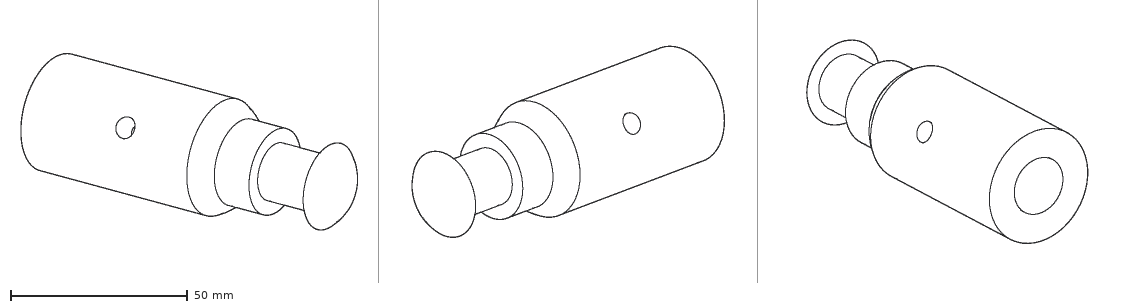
import cadquery as cq
import math

total_length = 101.6
body_diameter = 34.3
body_length = 57.9
collar_diameter = 25.4
collar_start = 64.3
collar_end = 76.4
stem_diameter = 17.0
head_diameter = collar_diameter
head_height = 6.3

bore_diameter = 17.0
bore_depth = 57.9
bore_dome_height = 3.0

radial_hole_diameter = 6.3
radial_hole_x = 34.8
radial_hole_angles = (30, 150, 270)

head_start = total_length - head_height


def cap_midpoint(base_x, base_radius, height):
    """Point halfway along the arc from a spherical cap's rim to its tip; a negative height points to -X."""
    sphere_radius = (base_radius**2 + height**2) / (2 * abs(height))
    half_angle = math.asin(base_radius / sphere_radius) / 2
    drop = math.copysign(sphere_radius * (1 - math.cos(half_angle)), height)
    return (base_x + height - drop, sphere_radius * math.sin(half_angle))


def shoulder_midpoint():
    """Midpoint of the shoulder arc, which is centred on the part's axis."""
    body_radius = body_diameter / 2
    collar_radius = collar_diameter / 2
    shoulder_length = collar_start - body_length
    center_offset = ((body_radius**2 - collar_radius**2) / shoulder_length - shoulder_length) / 2
    sphere_radius = math.hypot(center_offset, body_radius)
    body_angle = math.atan2(body_radius, center_offset)
    collar_angle = math.atan2(collar_radius, center_offset + shoulder_length)
    middle_angle = (body_angle + collar_angle) / 2
    return (
        body_length - center_offset + sphere_radius * math.cos(middle_angle),
        sphere_radius * math.sin(middle_angle),
    )


def make_outside():
    """Body, spherical shoulder, collar, stem and mushroom head."""
    profile = (
        cq.Workplane("XY")
        .lineTo(0, body_diameter / 2)
        .lineTo(body_length, body_diameter / 2)
        .threePointArc(shoulder_midpoint(), (collar_start, collar_diameter / 2))
        .lineTo(collar_end, collar_diameter / 2)
        .lineTo(collar_end, stem_diameter / 2)
        .lineTo(head_start, stem_diameter / 2)
        .lineTo(head_start, head_diameter / 2)
        .threePointArc(
            cap_midpoint(head_start, head_diameter / 2, head_height),
            (total_length, 0),
        )
        .close()
    )
    return profile.revolve(360, (0, 0, 0), (1, 0, 0))


def make_bore():
    """Cutter for the axial bore and its bulging bottom."""
    profile = (
        cq.Workplane("XY")
        .lineTo(0, bore_diameter / 2)
        .lineTo(bore_depth, bore_diameter / 2)
        .threePointArc(
            cap_midpoint(bore_depth, bore_diameter / 2, -bore_dome_height),
            (bore_depth - bore_dome_height, 0),
        )
        .close()
    )
    return profile.revolve(360, (0, 0, 0), (1, 0, 0))


def make_radial_hole(angle):
    """Cutter for one hole running from the axis out through the body wall."""
    return (
        cq.Workplane("XZ", origin=(radial_hole_x, 0, 0))
        .circle(radial_hole_diameter / 2)
        .extrude(-body_diameter)
        .rotate((0, 0, 0), (1, 0, 0), angle)
    )


result = make_outside().cut(make_bore())
for hole_angle in radial_hole_angles:
    result = result.cut(make_radial_hole(hole_angle))